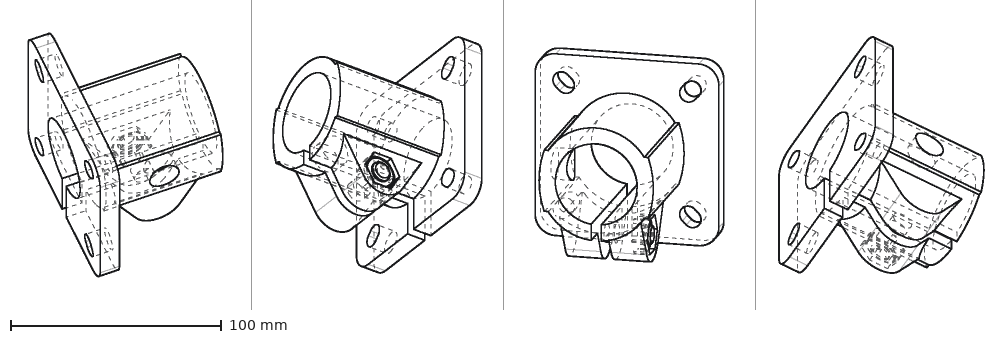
import cadquery as cq
import math

flange_side = 90.0
flange_thickness = 10.0
flange_corner_radius = 10.0
slot_inner = 30.1
slot_outer = 31.95
slot_width = 8.55

total_depth = 70.0
sleeve_radius = 28.0
bore_diameter = 40.05
split_width = 4.95

pad_half_height = 15.1
pad_edge_x = 25.5
pad_inner_x = 21.6

clamp_y = (flange_thickness + total_depth) / 2
clamp_z = -32.0
ear_radius = flange_side / 2 + clamp_z
ear_face_x = 20.0
ear_top_z = -math.sqrt(sleeve_radius**2 - ear_face_x**2)
ear_top_half_width = 22.5

bolt_diameter = 10.0
bolt_chamfer = 1.0
nut_across_flats = 17.0
nut_pocket_depth = 8.0
nut_recess = 2.0
nut_face_diameter = 15.0
nut_rim_diameter = 15.6
nut_rim_height = 0.3
nut_cone_diameter = 15.9
nut_cone_height = 0.6
nut_body_diameter = 18.1

side_hole_diameter = 15.0


def xz_plane(y):
    """Workplane at the given Y whose local axes are X and Z (normal toward -Y)."""
    return cq.Workplane("XZ", origin=(0, y, 0))


def clamp_plane(x):
    """Workplane centred on the clamp bolt axis, with local axes Y and Z."""
    return cq.Workplane("YZ", origin=(x, clamp_y, clamp_z))


def make_flange():
    flange = xz_plane(0).rect(flange_side, flange_side).extrude(-flange_thickness)
    flange = flange.edges("|Y").fillet(flange_corner_radius)
    slot_middle = (slot_inner + slot_outer) / 2
    slot_length = (slot_outer - slot_inner) * math.sqrt(2) + slot_width
    for side_x in (-1, 1):
        for side_z in (-1, 1):
            slot = (
                xz_plane(0)
                .center(side_x * slot_middle, side_z * slot_middle)
                .slot2D(slot_length, slot_width, 45 * side_x * side_z)
                .extrude(-flange_thickness)
            )
            flange = flange.cut(slot)
    return flange


def make_pad(side):
    return (
        xz_plane(0)
        .moveTo(side * pad_inner_x, -pad_half_height)
        .lineTo(side * pad_edge_x, -pad_half_height)
        .threePointArc((side * sleeve_radius, 0), (side * pad_edge_x, pad_half_height))
        .lineTo(side * pad_inner_x, pad_half_height)
        .close()
        .extrude(-total_depth)
    )


def make_ears():
    rise = ear_top_z - clamp_z
    corner_distance = math.hypot(ear_top_half_width, rise)
    tangent_angle = math.atan2(rise, ear_top_half_width) - math.acos(ear_radius / corner_distance)
    tangent_y = ear_radius * math.cos(tangent_angle)
    tangent_z = ear_radius * math.sin(tangent_angle)
    return (
        clamp_plane(-ear_face_x)
        .moveTo(-ear_top_half_width, rise)
        .lineTo(-tangent_y, tangent_z)
        .threePointArc((0, -ear_radius), (tangent_y, tangent_z))
        .lineTo(ear_top_half_width, rise)
        .close()
        .extrude(2 * ear_face_x)
    )


def make_hexagon(x, length):
    corner_diameter = nut_across_flats / math.cos(math.pi / 6)
    return clamp_plane(x).polygon(6, corner_diameter).extrude(length)


def make_nut():
    envelope = (
        cq.Workplane("XY", origin=(-ear_face_x, clamp_y, clamp_z))
        .moveTo(nut_recess, 0)
        .lineTo(nut_recess, nut_face_diameter / 2)
        .lineTo(nut_recess + nut_rim_height, nut_rim_diameter / 2)
        .lineTo(nut_recess + nut_rim_height, nut_cone_diameter / 2)
        .lineTo(nut_recess + nut_rim_height + nut_cone_height, nut_body_diameter / 2)
        .lineTo(nut_pocket_depth, nut_body_diameter / 2)
        .lineTo(nut_pocket_depth, 0)
        .close()
        .revolve(360, (0, 0, 0), (1, 0, 0))
    )
    nut_height = nut_pocket_depth - nut_recess
    return make_hexagon(-ear_face_x + nut_recess, nut_height).intersect(envelope)


def make_bolt():
    bolt = clamp_plane(-ear_face_x).circle(bolt_diameter / 2).extrude(2 * ear_face_x)
    return bolt.faces("<X").chamfer(bolt_chamfer)


sleeve = xz_plane(0).circle(sleeve_radius).extrude(-total_depth)
body = make_flange().union(sleeve).union(make_pad(-1)).union(make_pad(1)).union(make_ears())

bore = xz_plane(0).circle(bore_diameter / 2).extrude(-total_depth)
split = (
    xz_plane(0)
    .center(0, -flange_side / 4)
    .rect(split_width, flange_side / 2)
    .extrude(-total_depth)
)
body = body.cut(bore).cut(split)

side_hole = (
    cq.Workplane("YZ", origin=(0, clamp_y, 0))
    .circle(side_hole_diameter / 2)
    .extrude(flange_side / 2)
)
body = body.cut(side_hole)

body = body.cut(make_hexagon(-ear_face_x, nut_pocket_depth))
result = body.union(make_nut()).union(make_bolt())